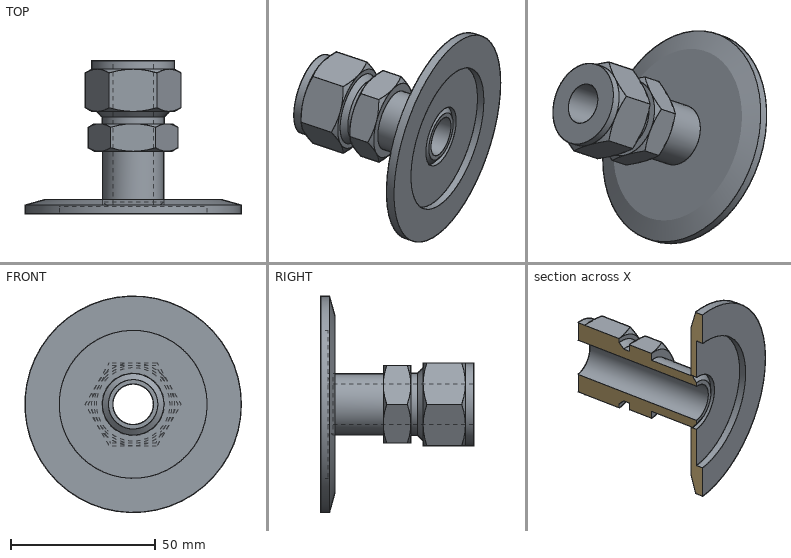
import cadquery as cq
import math


flange_diameter = 75.0
flange_rim_width = 3.1
flange_thickness = 5.0
flange_back_diameter = 61.0
recess_diameter = 51.2
recess_depth = 2.55

bore_diameter = 13.95
tube_diameter = 21.3
tube_end_bevel_width = 2.1
tube_end_bevel_length = 1.65
neck_diameter = 21.6
collar_diameter = 25.4
body_hex_flats = 26.9
nut_hex_flats = 28.7
cap_diameter = nut_hex_flats
hex_bevel_angle = 30.0

body_hex_start = 21.7
body_hex_end = 31.2
collar_start = 33.5
nut_start = 35.5
nut_end = 50.1
fitting_end = 53.0


def revolve_about_y(points):
    """Revolve a closed (radius, Y) outline about the Y axis."""
    return cq.Workplane("XY").polyline(points).close().revolve(360, (0, 0, 0), (0, 1, 0))


def cylinder(diameter, start, end):
    """Cylinder on the Y axis between two stations."""
    radius = diameter / 2
    return revolve_about_y([(0, start), (radius, start), (radius, end), (0, end)])


def bevelled_hex(flats, start, end):
    """Hexagon with flats facing up and down, its corners turned to a cone at both ends."""
    corner_diameter = flats / math.cos(math.radians(30))
    flat_radius = flats / 2
    corner_radius = corner_diameter / 2
    bevel = (corner_radius - flat_radius) * math.tan(math.radians(hex_bevel_angle))
    hexagon = (
        cq.Workplane("XZ", origin=(0, start, 0))
        .polygon(6, corner_diameter)
        .extrude(start - end)
    )
    turned_envelope = revolve_about_y([
        (0, start),
        (flat_radius, start),
        (corner_radius, start + bevel),
        (corner_radius, end - bevel),
        (flat_radius, end),
        (0, end),
    ])
    return hexagon.intersect(turned_envelope)


def make_flange():
    """Clamp flange with a tapered back, a front recess and a hole for the tube."""
    disc = revolve_about_y([
        (0, 0),
        (flange_diameter / 2, 0),
        (flange_diameter / 2, flange_rim_width),
        (flange_back_diameter / 2, flange_thickness),
        (0, flange_thickness),
    ])
    recess = cylinder(recess_diameter, 0, recess_depth)
    tube_hole = cylinder(tube_diameter, 0, flange_thickness)
    return disc.cut(recess).cut(tube_hole)


def make_fitting():
    """Bored tube fitting whose bevelled end is level with the floor of the flange recess."""
    tube_radius = tube_diameter / 2
    neck_radius = neck_diameter / 2
    tube_and_neck = revolve_about_y([
        (0, recess_depth),
        (tube_radius - tube_end_bevel_width, recess_depth),
        (tube_radius, recess_depth + tube_end_bevel_length),
        (tube_radius, body_hex_end),
        (neck_radius, body_hex_end),
        (neck_radius, collar_start),
        (collar_diameter / 2, nut_start),
        (0, nut_start),
    ])
    body_hex = bevelled_hex(body_hex_flats, body_hex_start, body_hex_end)
    nut_hex = bevelled_hex(nut_hex_flats, nut_start, nut_end)
    cap = cylinder(cap_diameter, nut_end, fitting_end)
    bore = cylinder(bore_diameter, recess_depth, fitting_end)
    return tube_and_neck.union(body_hex).union(nut_hex).union(cap).cut(bore)


flange = make_flange()
fitting = make_fitting()

result = cq.Compound.makeCompound([flange.solids().val(), fitting.solids().val()])